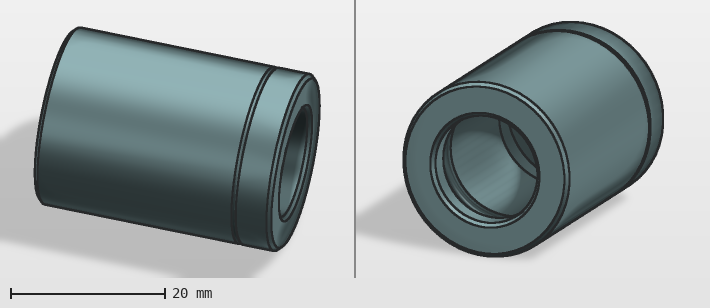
import cadquery as cq

length = 32.0
outer_diameter = 23.5
bore_diameter = 14.4
chamber_diameter = 18.5
end_land = 3.07
liner_diameter = 16.5
liner_start = 8.0
liner_fillet = 0.5
edge_chamfer = 0.5
groove_start = 26.75
groove_radius = 0.3


def cylinder(diameter, start, end):
    """Solid cylinder about the X axis between two X positions."""
    return cq.Workplane("YZ", origin=(start, 0, 0)).circle(diameter / 2).extrude(end - start)


def ring_groove(surface_diameter, center_x):
    """Round-bottomed ring centred on a cylindrical surface."""
    return (
        cq.Workplane("XY")
        .center(center_x, surface_diameter / 2)
        .circle(groove_radius)
        .revolve(360, (0, -surface_diameter / 2, 0), (1, -surface_diameter / 2, 0))
    )


sleeve = cylinder(outer_diameter, 0, length).cut(cylinder(bore_diameter, 0, length))
sleeve = sleeve.faces("<X or >X").edges().chamfer(edge_chamfer)

near_chamber = cylinder(chamber_diameter, end_land, liner_start).faces(">X").edges().fillet(liner_fillet)
far_chamber = near_chamber.mirror("YZ").translate((length, 0, 0))
sleeve = sleeve.cut(near_chamber).cut(far_chamber)

sleeve = sleeve.cut(cylinder(liner_diameter, liner_start, length - liner_start))

result = sleeve.cut(ring_groove(outer_diameter, groove_start + groove_radius))